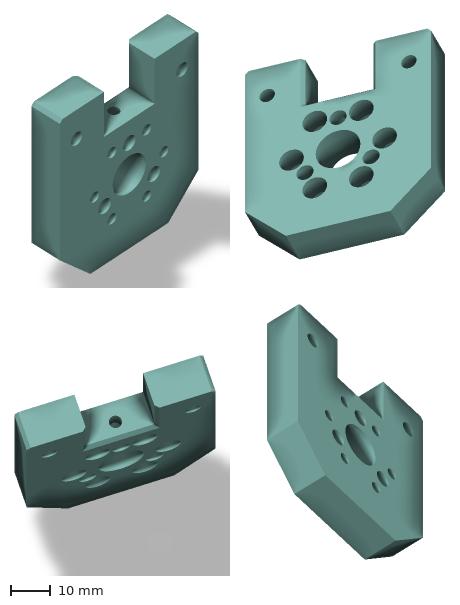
import cadquery as cq
import math

thickness = 10.0
width = 50.0
height = 56.5
bottom_chamfer = 10.95
edge_chamfer = 1.0

slot_width = 18.2
slot_depth = 14.7
slot_floor = height - slot_depth

bore_z = 24.2
bore_diameter = 12.0
bolt_circle_radius = 12.5
bolt_diameter = 3.2
counterbore_diameter = 6.6
counterbore_depth = 6.0
pin_circle_radius = 10.2
pin_diameter = 4.6
mount_diameter = 4.1
mount_spacing = 38.0
mount_z = 47.1
floor_hole_diameter = 3.3
floor_hole_x = 4.65


def cylinder_x(diameter, length, y, z):
    """Cylinder that starts on the X = 0 face and runs along +X."""
    return cq.Workplane("YZ").center(y, z).circle(diameter / 2).extrude(length)


def circle_points(radius, count, start_angle):
    """Evenly spaced (y, z) points on a circle around the bore."""
    angles = [math.radians(start_angle + i * 360 / count) for i in range(count)]
    return [(radius * math.cos(a), bore_z + radius * math.sin(a)) for a in angles]


def plate():
    body = cq.Workplane("XY").box(thickness, width, height, centered=(False, True, False))
    body = body.edges("|X and <Z").chamfer(bottom_chamfer)
    return body.edges("|X and >Z").chamfer(edge_chamfer)


def slot():
    """Slot cutter with a flare that chamfers its edges on the X = 0 face."""
    straight = cq.Workplane("XY").box(
        thickness, slot_width, slot_depth, centered=(False, True, False)
    ).translate((0, 0, slot_floor))
    flare = (
        cq.Workplane("YZ")
        .center(0, height)
        .rect(slot_width + 2 * edge_chamfer, 2 * (slot_depth + edge_chamfer))
        .workplane(offset=edge_chamfer)
        .rect(slot_width, 2 * slot_depth)
        .loft(ruled=True)
    )
    return straight.union(flare)


def floor_hole():
    """Vertical hole from the slot floor down into the upper pin hole."""
    bottom = bore_z + pin_circle_radius
    return (
        cq.Workplane("XY", origin=(floor_hole_x, 0, bottom))
        .circle(floor_hole_diameter / 2)
        .extrude(slot_floor - bottom)
    )


result = plate().cut(slot()).cut(floor_hole())
result = result.cut(cylinder_x(bore_diameter, thickness, 0, bore_z))

for y, z in circle_points(bolt_circle_radius, 6, 0):
    result = result.cut(cylinder_x(bolt_diameter, thickness, y, z))
    result = result.cut(cylinder_x(counterbore_diameter, counterbore_depth, y, z))

for y, z in circle_points(pin_circle_radius, 3, 90):
    result = result.cut(cylinder_x(pin_diameter, thickness, y, z))

for y in (-mount_spacing / 2, mount_spacing / 2):
    result = result.cut(cylinder_x(mount_diameter, thickness, y, mount_z))